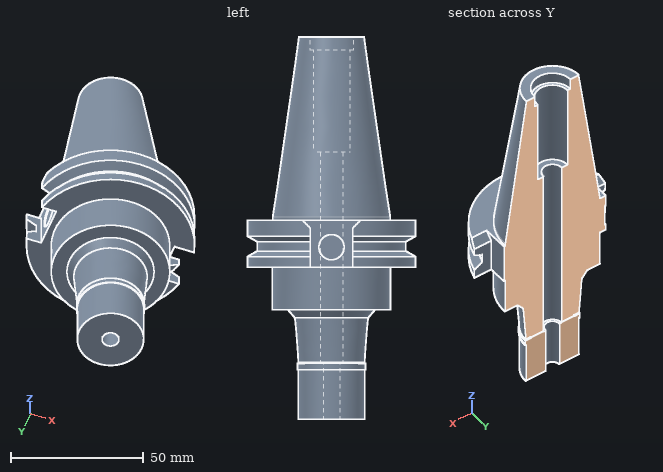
import cadquery as cq
import math

total_height = 144.5
taper_base_z = 76.5
taper_base_radius = 22.2
taper_ratio = 7 / 24
taper_top_radius = taper_base_radius - (total_height - taper_base_z) * taper_ratio / 2

flange_radius = 31.8
flange_top_z = 75.3
flange_bottom_z = 57.3
groove_center_z = 65.3
groove_floor_radius = 28.2
groove_floor_width = 3.5
groove_flank_angle = 60.0
groove_flank_height = (flange_radius - groove_floor_radius) / math.tan(math.radians(groove_flank_angle))
groove_half_floor = groove_floor_width / 2
groove_half_mouth = groove_half_floor + groove_flank_height

slot_width = 16.0
near_slot_floor_x = -25.0
far_slot_floor_x = 22.8
slot_chamfer = 3.0
recess_radius = 4.8
recess_depth = 0.5
recess_center_z = 65.0

collar_radius = 22.4
collar_bottom_z = 41.3
shoulder_radius = 16.5
shoulder_bottom_z = 38.3
neck_top_radius = 13.9
neck_bottom_radius = 12.5

nut_radius = 12.5
nut_rim_radius = 12.9
nut_rim_height = 2.5
nut_top_z = 21.1
nut_gap = 0.5
neck_bottom_z = nut_top_z + nut_gap
spigot_radius = 10.1

mouth_bore_radius = 8.2
mouth_bore_depth = 4.9
thread_bore_radius = 7.0
thread_bore_depth = 43.3
holder_bore_radius = 4.2
nut_bore_radius = 3.2


def revolve_profile(points):
    """Revolve a closed (radius, z) outline about the Z axis."""
    return cq.Workplane("XZ").polyline(points).close().revolve(360, (0, 0, 0), (0, 1, 0))


def make_holder_blank():
    mouth_floor_z = total_height - mouth_bore_depth
    thread_floor_z = total_height - thread_bore_depth
    return revolve_profile([
        (mouth_bore_radius, total_height),
        (taper_top_radius, total_height),
        (taper_base_radius, taper_base_z),
        (taper_base_radius, flange_top_z),
        (flange_radius, flange_top_z),
        (flange_radius, groove_center_z + groove_half_mouth),
        (groove_floor_radius, groove_center_z + groove_half_floor),
        (groove_floor_radius, groove_center_z - groove_half_floor),
        (flange_radius, groove_center_z - groove_half_mouth),
        (flange_radius, flange_bottom_z),
        (collar_radius, flange_bottom_z),
        (collar_radius, collar_bottom_z),
        (shoulder_radius, collar_bottom_z),
        (neck_top_radius, shoulder_bottom_z),
        (neck_bottom_radius, neck_bottom_z),
        (spigot_radius, neck_bottom_z),
        (spigot_radius, nut_top_z),
        (holder_bore_radius, nut_top_z),
        (holder_bore_radius, thread_floor_z),
        (thread_bore_radius, thread_floor_z),
        (thread_bore_radius, mouth_floor_z),
        (mouth_bore_radius, mouth_floor_z),
    ])


def make_drive_slot(floor_x):
    """Slot cutter with a chamfered flange-top entry, running outward from its floor at floor_x."""
    half_width = slot_width / 2
    half_entry = half_width + slot_chamfer
    chamfer_bottom_z = flange_top_z - slot_chamfer
    return (
        cq.Workplane("YZ", origin=(floor_x, 0, 0))
        .polyline([
            (-half_width, flange_bottom_z),
            (half_width, flange_bottom_z),
            (half_width, chamfer_bottom_z),
            (half_entry, flange_top_z),
            (-half_entry, flange_top_z),
            (-half_width, chamfer_bottom_z),
        ])
        .close()
        .extrude(math.copysign(flange_radius, floor_x))
    )


def make_chip_recess():
    """Shallow round recess in the floor of the -X slot."""
    return (
        cq.Workplane("YZ", origin=(near_slot_floor_x, 0, recess_center_z))
        .circle(recess_radius)
        .extrude(recess_depth)
    )


def make_holder():
    holder = make_holder_blank()
    for floor_x in (near_slot_floor_x, far_slot_floor_x):
        holder = holder.cut(make_drive_slot(floor_x))
    return holder.cut(make_chip_recess())


def make_nut():
    rim_bottom_z = nut_top_z - nut_rim_height
    return revolve_profile([
        (nut_bore_radius, 0),
        (nut_radius, 0),
        (nut_radius, rim_bottom_z),
        (nut_rim_radius, rim_bottom_z),
        (nut_rim_radius, nut_top_z),
        (nut_bore_radius, nut_top_z),
    ])


holder = make_holder()
nut = make_nut()
result = cq.Compound.makeCompound([holder.val(), nut.val()])